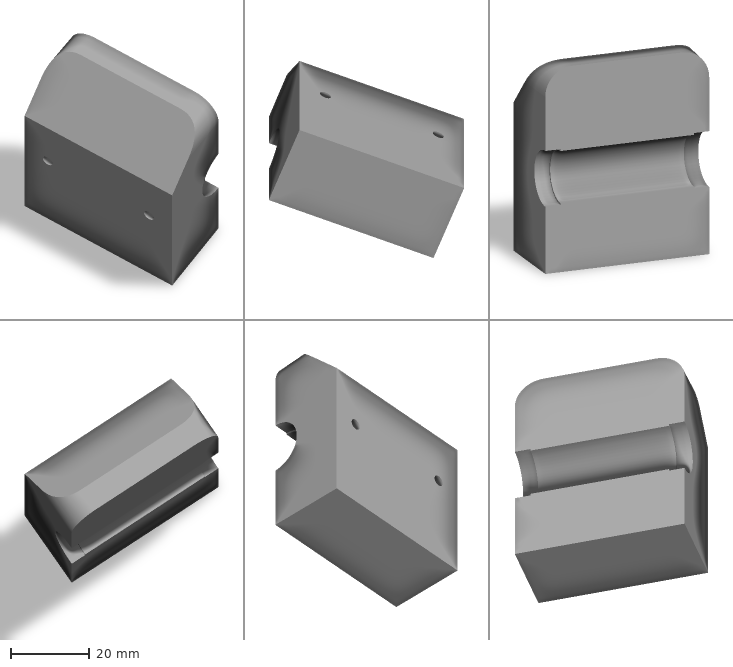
import cadquery as cq
import math

width = 45.3
depth = 21.5
height = 55.0
slope_size = 15.0
corner_radius = 7.5

channel_height = 25.5
channel_radius = 7.0
end_radius = 7.5
end_length = 4.2

hole_diameter = 3.0
hole_spacing = 31.1
hole_depth = 10.0


def make_body():
    profile = [
        (0, 0),
        (depth, 0),
        (depth, height),
        (slope_size, height),
        (0, height - slope_size),
    ]
    return cq.Workplane("YZ").polyline(profile).close().extrude(width / 2, both=True)


def corner_wire(curve, start, corner, end):
    sides = [cq.Edge.makeLine(end, corner), cq.Edge.makeLine(corner, start)]
    return cq.Wire.assembleEdges([curve] + sides)


def corner_cutter(side):
    """Waste at one upper corner, ruled from an arc at the back to a parabola on the slope."""
    outer_x = side * width / 2
    inner_x = side * (width / 2 - corner_radius)
    low_z = height - corner_radius

    back_start = cq.Vector(inner_x, depth, height)
    back_corner = cq.Vector(outer_x, depth, height)
    back_end = cq.Vector(outer_x, depth, low_z)
    arc_reach = corner_radius * math.sqrt(0.5)
    arc_middle = cq.Vector(inner_x + side * arc_reach, depth, low_z + arc_reach)
    arc = cq.Edge.makeThreePointArc(back_start, arc_middle, back_end)

    slope_start = cq.Vector(inner_x, slope_size, height)
    slope_corner = cq.Vector(outer_x, slope_size, height)
    slope_end = cq.Vector(outer_x, slope_size - corner_radius, low_z)
    parabola = cq.Edge.makeBezier([slope_start, slope_corner, slope_end])

    back_wire = corner_wire(arc, back_start, back_corner, back_end)
    slope_wire = corner_wire(parabola, slope_start, slope_corner, slope_end)
    return cq.Workplane(cq.Solid.makeLoft([back_wire, slope_wire], True))


def channel_cutter(radius, length, start_x):
    return (
        cq.Workplane("YZ", origin=(start_x, depth, channel_height))
        .circle(radius)
        .extrude(length)
    )


def hole_cutter(center_x):
    return (
        cq.Workplane("XZ", origin=(center_x, 0, channel_height))
        .circle(hole_diameter / 2)
        .extrude(-hole_depth)
    )


result = make_body()
for side in (-1, 1):
    result = result.cut(corner_cutter(side))
result = result.cut(channel_cutter(channel_radius, width, -width / 2))
for start_x in (-width / 2, width / 2 - end_length):
    result = result.cut(channel_cutter(end_radius, end_length, start_x))
for side in (-1, 1):
    result = result.cut(hole_cutter(side * hole_spacing / 2))